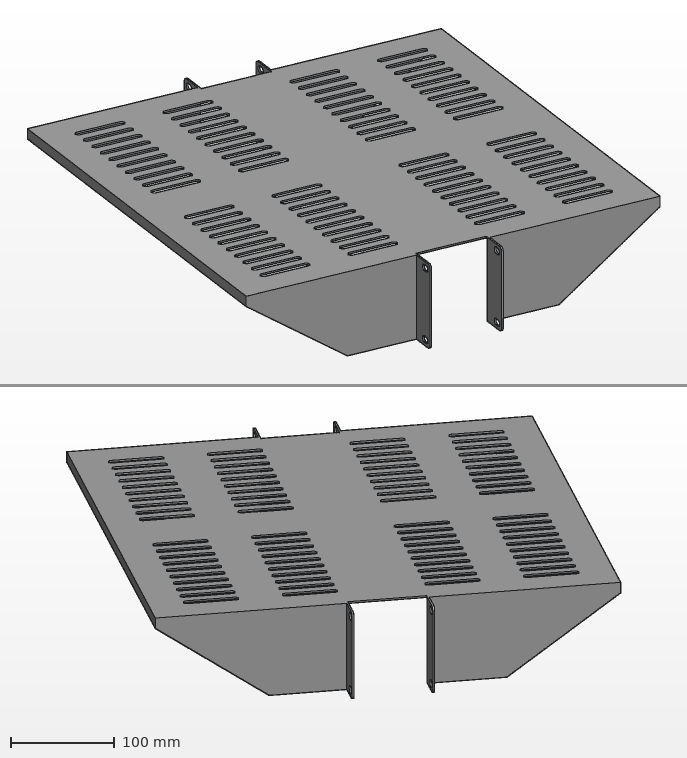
import cadquery as cq

overall_width = 482.5
depth = 457.0
height = 90.0
shelf_width = 430.0
sheet = 2.0

lip_height = 11.0
wall_bottom_half = 117.0
gap_half = 38.5
notch_inset = 4.0

ear_corner_radius = 4.0
ear_hole_length = 10.0
ear_hole_height = 6.8
ear_hole_edge = 9.0
ear_hole_end = 6.8

slot_length = 54.0
slot_width = 6.8
slots_per_group = 10
first_slot_x = 33.0
last_slot_x = 181.5
slot_pitch = (last_slot_x - first_slot_x) / (slots_per_group - 1)
row_positions = (70.0, 167.0)

half_width = overall_width / 2
half_shelf = shelf_width / 2
half_depth = depth / 2


def box(x_range, y_range, z_range):
    """Box given by its lower and upper limits along each axis."""
    lower, upper = zip(x_range, y_range, z_range)
    size = [b - a for a, b in zip(lower, upper)]
    return cq.Workplane("XY").box(*size, centered=False).translate(lower)


def make_shelf():
    """Flat top sheet, cut back on both sides at the opening."""
    shelf = box((-half_shelf, half_shelf), (-half_depth, half_depth), (-sheet, 0))
    notch = box((half_shelf - notch_inset, half_shelf), (-gap_half, gap_half), (-sheet, 0))
    return shelf.cut(notch).cut(notch.mirror("YZ"))


def make_vent_slots():
    """Slots of all groups, mirrored about both centre planes."""
    centres = [
        (side_x * (first_slot_x + i * slot_pitch), side_y * row_y)
        for side_x in (-1, 1)
        for side_y in (-1, 1)
        for row_y in row_positions
        for i in range(slots_per_group)
    ]
    return (
        cq.Workplane("XY")
        .pushPoints(centres)
        .slot2D(slot_length, slot_width, angle=90)
        .extrude(-sheet)
    )


def make_lip():
    """Short folded edge along the back of the shelf."""
    return box((-half_shelf, half_shelf), (half_depth - sheet, half_depth), (-lip_height, 0))


def make_wall():
    """Tapered side wall on the +X side, behind the opening."""
    outline = [
        (gap_half, 0),
        (half_depth, 0),
        (half_depth, -lip_height),
        (wall_bottom_half, -height),
        (gap_half, -height),
    ]
    return (
        cq.Workplane("YZ")
        .workplane(offset=half_shelf - sheet)
        .polyline(outline)
        .close()
        .extrude(sheet)
    )


def make_ear():
    """Mounting ear at the inner end of the wall, with rounded outer corners and two holes."""
    ear = box((half_shelf - sheet, half_width), (gap_half, gap_half + sheet), (-height, 0))
    ear = ear.edges("|Y and >X").fillet(ear_corner_radius)
    hole_x = half_width - ear_hole_edge
    hole_centres = [(hole_x, -ear_hole_end), (hole_x, ear_hole_end - height)]
    holes = (
        cq.Workplane("XZ", origin=(0, gap_half + sheet, 0))
        .pushPoints(hole_centres)
        .slot2D(ear_hole_length, ear_hole_height)
        .extrude(sheet)
    )
    return ear.cut(holes)


bracket = make_wall().union(make_ear())
back_edges = make_lip().union(bracket).union(bracket.mirror("YZ"))

result = make_shelf().cut(make_vent_slots())
result = result.union(back_edges).union(back_edges.mirror("XZ"))